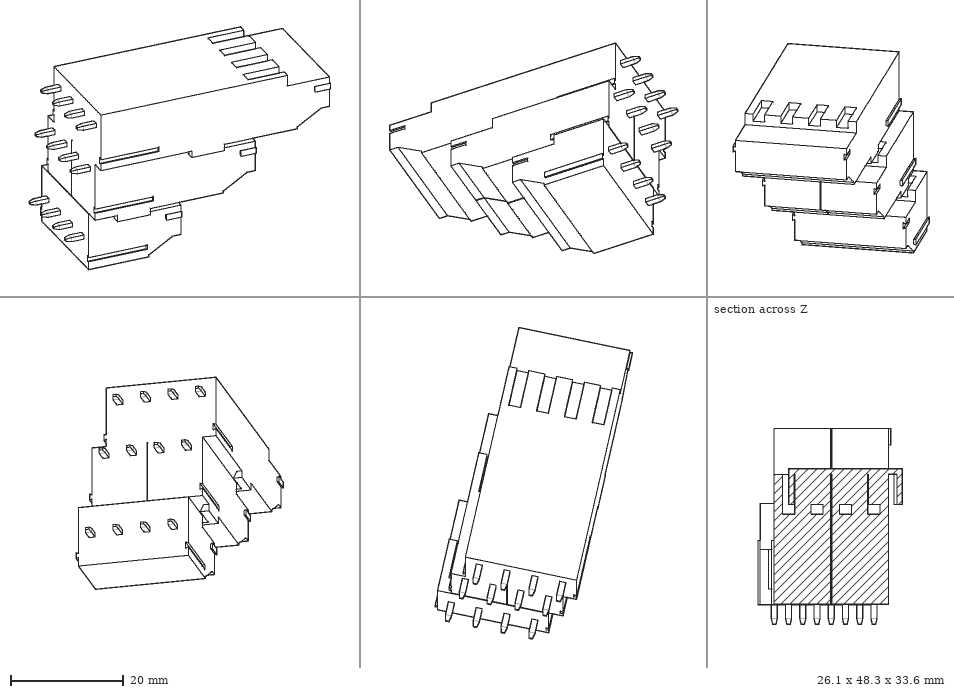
import cadquery as cq


POLES = 4
PITCH = 5.05
TIER_WIDTH = POLES * PITCH
TIER_HEIGHT = 11.2
SHORT_DEPTH = 18.05
TIER_DEPTH_STEP = 13.4
UPPER_SETBACK = 0.1
STAGGER = PITCH / 2
SPLIT_TIER = 1
SPLIT_GAP = 0.15

STEP_LENGTH = 8.2
STEP_DROP = 2.13
NOSE_DROP = 8.05
NOSE_LENGTH = 1.65
SLOPE_LENGTH = 6.3
SLOPE_DROP = 10.8

SLOT_LENGTH = 7.05
SLOT_DEPTH = 1.35
SLOT_WIDTH = 2.13

FOOT_DROP = 1.25
FOOT_NECK = 1.95
FOOT_BASE = 3.1
FOOT_REACH = 5.35
BAR_LENGTH = 1.0

FRONT_RAIL_NECK = 0.8
RAIL_TIP = 1.15
RAIL_PROJECTION = 0.41
GROOVE_DEPTH = 0.55
FRONT_RAIL_LENGTH = 11.5
REAR_RAIL_LENGTH = 3.0
REAR_RAIL_NECK = 0.72
REAR_RAIL_DROP = 3.75
FRONT_RAIL_RISES = (2.05, 1.85, 1.8)

PIN_WIDTH = 1.1
PIN_THICKNESS = 0.8
PIN_SHANK = 2.45
PIN_TIP = 1.0
PIN_TIP_WIDTH = 0.65
PIN_TIP_THICKNESS = 0.4
PIN_ROOT = 0.5
PIN_RISES = (5.65, 9.35, 8.15)

TIERS = len(PIN_RISES)


def rear_of(tier):
    return SHORT_DEPTH + tier * TIER_DEPTH_STEP


def front_of(tier):
    return UPPER_SETBACK if tier > 0 else 0.0


def split_of(tier):
    return SPLIT_GAP if tier == SPLIT_TIER else 0.0


def sides_of(tier):
    """Left and right X of a tier; a split tier grows evenly about its centre."""
    left = tier * STAGGER - split_of(tier) / 2
    return left, left + TIER_WIDTH + split_of(tier)


def bar_along_y(points, y_start, y_end):
    """Prism with an XZ section, running from y_start to y_end."""
    return cq.Workplane("XZ", origin=(0, y_start, 0)).polyline(points).close().extrude(y_start - y_end)


def dovetail(x, z_narrow, narrow, z_wide, wide, y_start, y_end):
    """Upright dovetail centred on x."""
    section = [
        (x - narrow / 2, z_narrow),
        (x + narrow / 2, z_narrow),
        (x + wide / 2, z_wide),
        (x - wide / 2, z_wide),
    ]
    return bar_along_y(section, y_start, y_end)


def side_dovetail(x, z, reach, neck, tip, y_start, y_end):
    """Sideways dovetail with its neck at x, reaching in +X or -X by the signed reach."""
    section = [
        (x, z - neck / 2),
        (x + reach, z - tip / 2),
        (x + reach, z + tip / 2),
        (x, z + neck / 2),
    ]
    return bar_along_y(section, y_start, y_end)


def housing(tier):
    left, right = sides_of(tier)
    front, rear = front_of(tier), rear_of(tier)
    bottom = tier * TIER_HEIGHT
    top = bottom + TIER_HEIGHT
    profile = [
        (front, bottom),
        (front, top),
        (rear - STEP_LENGTH, top),
        (rear - STEP_LENGTH, top - STEP_DROP),
        (rear, top - STEP_DROP),
        (rear, top - NOSE_DROP),
        (rear - NOSE_LENGTH, top - NOSE_DROP),
        (rear - SLOPE_LENGTH, top - SLOPE_DROP),
        (rear - SLOPE_LENGTH, bottom),
    ]
    return cq.Workplane("YZ", origin=(left, 0, 0)).polyline(profile).close().extrude(right - left)


def cut_slots(body, tier):
    top = (tier + 1) * TIER_HEIGHT
    step = rear_of(tier) - STEP_LENGTH
    slot = cq.Workplane("XY").box(SLOT_WIDTH, SLOT_LENGTH, SLOT_DEPTH, centered=(True, False, False))
    for pole in range(POLES):
        x = tier * STAGGER + (pole + 0.5) * PITCH
        body = body.cut(slot.translate((x, step - SLOT_LENGTH, top - SLOT_DEPTH)))
    return body


def cut_split(body, tier):
    centre = sum(sides_of(tier)) / 2
    length = rear_of(tier)
    gap = cq.Workplane("XY").box(SPLIT_GAP, length, TIER_HEIGHT, centered=(True, False, False))
    return body.cut(gap.translate((centre, 0, tier * TIER_HEIGHT)))


def add_rails(body, tier):
    """Front rail on the left and rear rail on the right, each with a groove on the opposite side."""
    left, right = sides_of(tier)
    front, rear = front_of(tier), rear_of(tier)
    bottom = tier * TIER_HEIGHT
    front_z = bottom + FRONT_RAIL_RISES[tier]
    front_run = (FRONT_RAIL_NECK, RAIL_TIP, front, FRONT_RAIL_LENGTH)
    rear_z = bottom + TIER_HEIGHT - REAR_RAIL_DROP
    rear_run = (REAR_RAIL_NECK, RAIL_TIP, rear - REAR_RAIL_LENGTH, rear)
    body = body.cut(side_dovetail(right, front_z, -GROOVE_DEPTH, *front_run))
    body = body.cut(side_dovetail(left, rear_z, GROOVE_DEPTH, *rear_run))
    body = body.union(side_dovetail(left, front_z, -RAIL_PROJECTION, *front_run))
    return body.union(side_dovetail(right, rear_z, RAIL_PROJECTION, *rear_run))


def feet(tier):
    """Cross bar and dovetail feet under an upper tier; the outer feet are trimmed flush with its sides."""
    left, right = sides_of(tier)
    bottom = tier * TIER_HEIGHT
    step = rear_of(tier - 1) - STEP_LENGTH
    bar_rear = step + BAR_LENGTH
    bar = cq.Workplane("XY").box(right - left, BAR_LENGTH, FOOT_DROP, centered=False)
    group = bar.translate((left, step, bottom - FOOT_DROP))
    for foot in range(POLES + 1):
        x = tier * STAGGER + foot * PITCH
        group = group.union(
            dovetail(x, bottom, FOOT_NECK, bottom - FOOT_DROP, FOOT_BASE, step - FOOT_REACH, bar_rear)
        )
    envelope = cq.Workplane("XY").box(right - left, bar_rear, FOOT_DROP, centered=False)
    return group.intersect(envelope.translate((left, 0, bottom - FOOT_DROP)))


def pin(x, z):
    shank = (
        cq.Workplane("XZ", origin=(x, PIN_ROOT, z))
        .rect(PIN_WIDTH, PIN_THICKNESS)
        .extrude(PIN_ROOT + PIN_SHANK)
    )
    tip = (
        cq.Workplane("XZ", origin=(x, -PIN_SHANK, z))
        .rect(PIN_WIDTH, PIN_THICKNESS)
        .workplane(offset=PIN_TIP)
        .rect(PIN_TIP_WIDTH, PIN_TIP_THICKNESS)
        .loft()
    )
    return shank.union(tip)


def build_tier(tier):
    body = cut_slots(housing(tier), tier)
    if tier == SPLIT_TIER:
        body = cut_split(body, tier)
    body = add_rails(body, tier)
    if tier > 0:
        body = body.union(feet(tier))
    for pole in range(POLES):
        x = tier * STAGGER + (pole + 0.5) * PITCH
        body = body.union(pin(x, tier * TIER_HEIGHT + PIN_RISES[tier]))
    return body


result = build_tier(0)
for level in range(1, TIERS):
    result = result.union(build_tier(level))